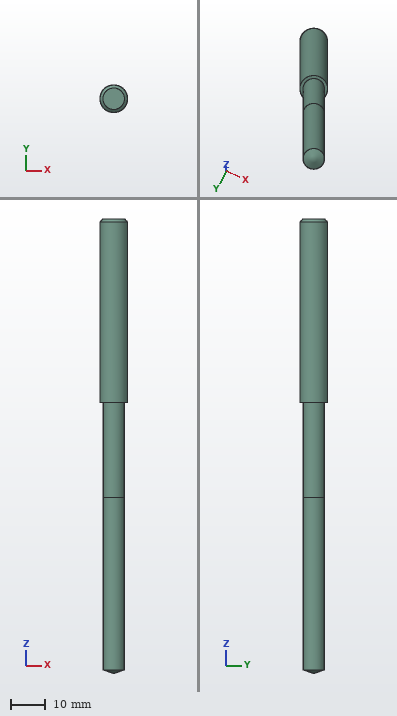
import cadquery as cq
import math


DRILL_DIAMETER = 6.2
POINT_ANGLE = 140.0
CUTTING_LENGTH = 49.6
CORNER_TO_SHANK_END = 130.0

SHANK_DIAMETER = 8.0
SHANK_LENGTH = 53.0
SHANK_CHAMFER = 0.9

drill_radius = DRILL_DIAMETER / 2
shank_radius = SHANK_DIAMETER / 2

point_height = drill_radius / math.tan(math.radians(POINT_ANGLE / 2))
cutting_top = point_height + CUTTING_LENGTH
shank_top = point_height + CORNER_TO_SHANK_END
shank_bottom = shank_top - SHANK_LENGTH


def turn(half_profile):
    """Solid of revolution about Z from the (radius, height) corners of its half profile."""
    return cq.Workplane("XZ").polyline(half_profile).close().revolve(360, (0, 0, 0), (0, 1, 0))


cutting_body = turn([
    (0, 0),
    (drill_radius, point_height),
    (drill_radius, cutting_top),
    (0, cutting_top),
])

shank_body = turn([
    (0, cutting_top),
    (drill_radius, cutting_top),
    (drill_radius, shank_bottom),
    (shank_radius, shank_bottom),
    (shank_radius, shank_top - SHANK_CHAMFER),
    (shank_radius - SHANK_CHAMFER, shank_top),
    (0, shank_top),
])

result = cq.Compound.makeCompound([cutting_body.val(), shank_body.val()])